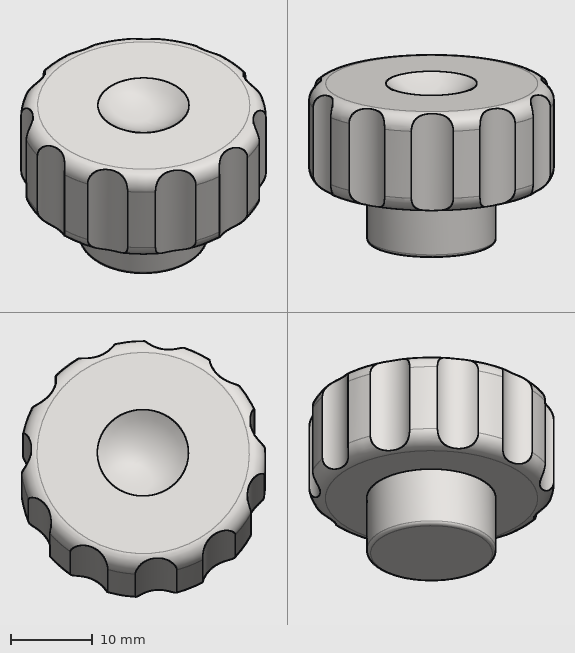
import cadquery as cq
import math

head_diameter = 29.98
head_height = 12.5
head_rounding = 2.0
hub_diameter = 15.8
hub_height = 7.5
hub_rounding = 0.45

flute_count = 11
flute_root_radius = 13.65
flute_width = 5.13

dimple_diameter = 11.15
dimple_depth = 2.22

total_height = head_height + hub_height


def arc_radius(chord, depth):
    """Radius of the circle whose segment has the given chord and depth."""
    return ((chord / 2) ** 2 + depth**2) / (2 * depth)


def make_head():
    head = cq.Workplane("XY").workplane(offset=hub_height).circle(head_diameter / 2).extrude(head_height)
    return head.edges().fillet(head_rounding)


def make_hub():
    hub = cq.Workplane("XY").circle(hub_diameter / 2).extrude(hub_height + head_height / 2)
    return hub.faces("<Z").edges().fillet(hub_rounding)


def make_flutes():
    head_radius = head_diameter / 2
    edge_distance = math.sqrt(head_radius**2 - (flute_width / 2) ** 2)
    radius = arc_radius(flute_width, edge_distance - flute_root_radius)
    return (
        cq.Workplane("XY")
        .workplane(offset=hub_height)
        .polarArray(flute_root_radius + radius, 0, 360, flute_count)
        .circle(radius)
        .extrude(head_height)
    )


def make_dimple():
    radius = arc_radius(dimple_diameter, dimple_depth)
    return cq.Workplane("XY").sphere(radius).translate((0, 0, total_height - dimple_depth + radius))


result = make_head().cut(make_flutes()).union(make_hub()).cut(make_dimple())